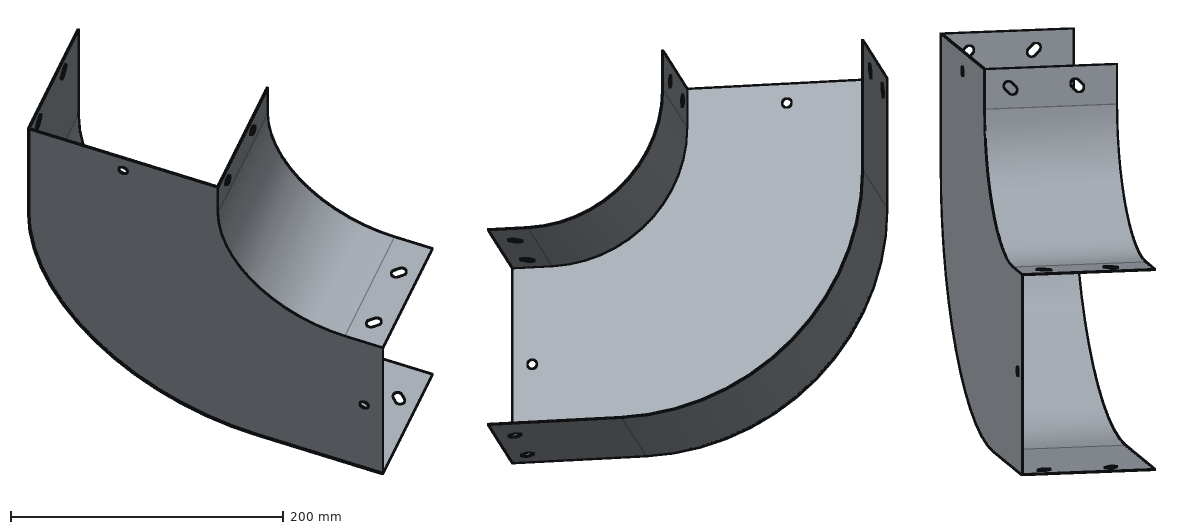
import cadquery as cq

size = 280.0
depth = 100.0
duct_width = 150.0
sheet = 0.8

outer_straight = 100.0
inner_straight = 30.0
outer_radius = size - outer_straight
inner_radius = size - duct_width - inner_straight

fixing_inset = 14.8
hole_diameter = 7.0
slot_width = 7.0
slot_length = 11.5
slot_angle = 45
slot_positions = (20.0, 70.0)


def bend_profile(outer_offset, inner_offset):
    """Elbow outline, with its curved walls moved into the duct by the given offsets."""
    low = outer_offset
    high = duct_width - inner_offset
    return (
        cq.Workplane("XZ")
        .moveTo(low, size)
        .lineTo(low, outer_radius)
        .radiusArc((outer_radius, low), -(outer_radius - outer_offset))
        .lineTo(size, low)
        .lineTo(size, high)
        .lineTo(duct_width + inner_radius, high)
        .radiusArc((high, duct_width + inner_radius), inner_radius + inner_offset)
        .lineTo(high, size)
        .close()
    )


def cover_hole(x, z):
    """Round cutter through the cover."""
    cutter = cq.Solid.makeCylinder(
        hole_diameter / 2,
        2 * sheet,
        cq.Vector(x, -sheet / 2, z),
        cq.Vector(0, 1, 0),
    )
    return cq.Workplane(cutter)


def wall_slot(center, along_end, normal, angle):
    """Slanted slot cutter through one wall, turned by angle from the along_end direction."""
    return (
        cq.Workplane(cq.Plane(origin=center, xDir=along_end, normal=normal))
        .slot2D(slot_length, slot_width, angle)
        .extrude(sheet, both=True)
    )


body = bend_profile(0, 0).extrude(-depth)
cavity = bend_profile(sheet, sheet).extrude(-depth).translate((0, sheet, 0))
result = body.cut(cavity)

end_position = size - fixing_inset
result = result.cut(cover_hole(duct_width / 2, end_position))
result = result.cut(cover_hole(end_position, duct_width / 2))

outer_wall = sheet / 2
inner_wall = duct_width - sheet / 2
for y in slot_positions:
    for wall, angle in ((outer_wall, slot_angle), (inner_wall, -slot_angle)):
        result = result.cut(wall_slot((wall, y, end_position), (0, 1, 0), (1, 0, 0), angle))
    for wall, angle in ((outer_wall, -slot_angle), (inner_wall, slot_angle)):
        result = result.cut(wall_slot((end_position, y, wall), (1, 0, 0), (0, 0, 1), angle))